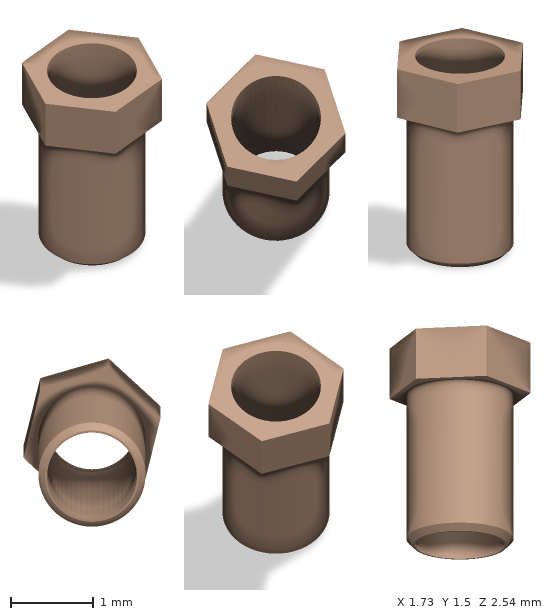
import cadquery as cq
import math

total_height = 2.54
head_height = 0.64
across_flats = 1.499
shank_diameter = 1.3
bore_diameter = 1.09
tip_chamfer = 0.08

across_corners = across_flats / math.cos(math.pi / 6)
shank_length = total_height - head_height

shank = (
    cq.Workplane("XY")
    .circle(shank_diameter / 2)
    .extrude(shank_length)
    .faces("<Z")
    .chamfer(tip_chamfer)
)

head = (
    cq.Workplane("XY")
    .workplane(offset=shank_length)
    .polygon(6, across_corners)
    .extrude(head_height)
)

bore = cq.Workplane("XY").circle(bore_diameter / 2).extrude(total_height)

result = shank.union(head).cut(bore)